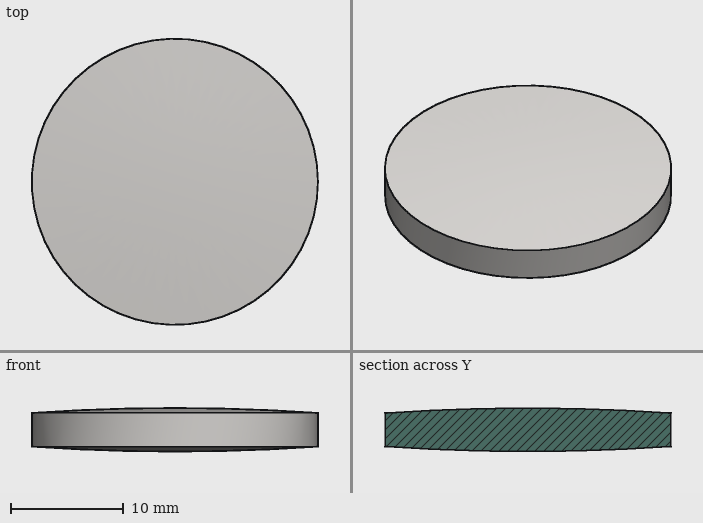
import cadquery as cq

diameter = 25.4
center_thickness = 3.89
edge_thickness = 3.0

radius = diameter / 2
half_center = center_thickness / 2
half_edge = edge_thickness / 2
dome_height = half_center - half_edge
sphere_radius = (radius**2 + dome_height**2) / (2 * dome_height)

mid_x = radius / 2
mid_z = half_center - sphere_radius + (sphere_radius**2 - mid_x**2) ** 0.5

half_section = (
    cq.Workplane("XZ")
    .moveTo(0, -half_center)
    .threePointArc((mid_x, -mid_z), (radius, -half_edge))
    .lineTo(radius, half_edge)
    .threePointArc((mid_x, mid_z), (0, half_center))
    .close()
)

result = half_section.revolve(360, (0, 0, 0), (0, 1, 0))